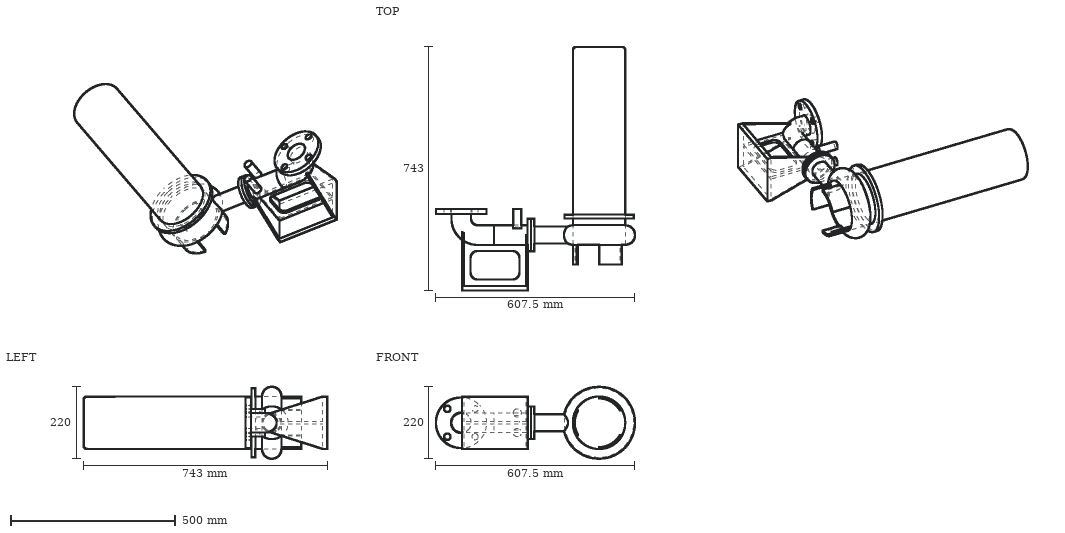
import cadquery as cq
import math


DRUM_DIAMETER = 160.07
DRUM_BACK_Y = 573.5
DRUM_BACK_FILLET = 10
TAB_COUNT = 3
TAB_ANGLE = 60
FIRST_GAP_CENTRE = 0
TAB_THICKNESS = 6
TAB_LENGTH = 60

RING_OUTER_DIAMETER = 220
INLET_DIAMETER = 52.9

COLLAR_DIAMETER = 211.6
COLLAR_FRONT_Y = 50
COLLAR_THICKNESS = 12

PIPE_FLANGE_DIAMETER = 100
PIPE_FLANGE_JOINT_X = -208
PIPE_SIDE_FLANGE_THICKNESS = 10
INLET_SIDE_FLANGE_THICKNESS = 11

PIPE_DIAMETER = 60.5
PIPE_ELBOW_JOINT_X = -320
STUB_DIAMETER = 25
STUB_X = -249
STUB_OFFSET_Z = 30
STUB_FRONT_Y = 20
STUB_BACK_Y = 80

ELBOW_BEND_RADIUS = 50
END_AXIS_X = -420
END_FLANGE_DIAMETER = 155
END_FLANGE_BORE = 61.1
END_FLANGE_THICKNESS = 16
END_FLANGE_BACK_Y = 80
BOLT_HOLE_DIAMETER = 19
BOLT_CIRCLE_DIAMETER = 120
BOLT_COUNT = 4

BRACKET_LEFT_X = -417
BRACKET_WIDTH = 200
BRACKET_HEIGHT = 160
BRACKET_FRONT_Y = -169.5
FRONT_PLATE_THICKNESS = 15
SIDE_PLATE_THICKNESS = 6
SIDE_PLATE_TIP_Y = 15
WEB_THICKNESS = 9
WEB_BACK_Y = -10
WINDOW_WIDTH = 148
WINDOW_DEPTH = 86
WINDOW_FRONT_Y = -135
WINDOW_CORNER_RADIUS = 20

drum_radius = DRUM_DIAMETER / 2
ring_half_width = RING_OUTER_DIAMETER / 2 - drum_radius
drum_front_y = -ring_half_width
pipe_radius = PIPE_DIAMETER / 2
pipe_end_x = PIPE_FLANGE_JOINT_X - PIPE_SIDE_FLANGE_THICKNESS


def cylinder_along_x(diameter, start_x, end_x):
    return cq.Workplane("YZ", origin=(start_x, 0, 0)).circle(diameter / 2).extrude(end_x - start_x)


def cylinder_along_y(diameter, start_y, end_y, x=0, z=0):
    plane = cq.Plane(origin=(x, start_y, z), xDir=(1, 0, 0), normal=(0, 1, 0))
    return cq.Workplane(plane).circle(diameter / 2).extrude(end_y - start_y)


def make_tab_gap(centre_angle):
    """Wedge that clears the drum wall between two neighbouring tabs."""
    half_angle = (360 / TAB_COUNT - TAB_ANGLE) / 2
    reach = 2 * drum_radius

    def point(angle):
        return (reach * math.cos(math.radians(angle)), reach * math.sin(math.radians(angle)))

    return (
        cq.Workplane("XZ", origin=(0, drum_front_y, 0))
        .polyline([(0, 0), point(centre_angle - half_angle), point(centre_angle + half_angle)])
        .close()
        .extrude(TAB_LENGTH)
    )


def make_drum():
    """Closed drum whose wall continues forward as evenly spaced curved tabs."""
    tab_end_y = drum_front_y - TAB_LENGTH
    drum = cylinder_along_y(DRUM_DIAMETER, tab_end_y, DRUM_BACK_Y)
    drum = drum.faces(">Y").edges().fillet(DRUM_BACK_FILLET)
    drum = drum.cut(cylinder_along_y(DRUM_DIAMETER - 2 * TAB_THICKNESS, tab_end_y, drum_front_y))
    for index in range(TAB_COUNT):
        drum = drum.cut(make_tab_gap(FIRST_GAP_CENTRE + index * 360 / TAB_COUNT))
    return drum


def make_collar():
    back_y = COLLAR_FRONT_Y + COLLAR_THICKNESS
    collar = cylinder_along_y(COLLAR_DIAMETER, COLLAR_FRONT_Y, back_y)
    return collar.cut(cylinder_along_y(DRUM_DIAMETER, COLLAR_FRONT_Y, back_y))


def make_ring_main():
    """Half-round ring fitted on the drum, with the inlet pipe and its flange."""
    ring = (
        cq.Workplane("XY")
        .center(-drum_radius, 0)
        .circle(ring_half_width)
        .revolve(360, (drum_radius, 0), (drum_radius, -1))
    )
    inlet = cylinder_along_x(INLET_DIAMETER, PIPE_FLANGE_JOINT_X, -drum_radius)
    flange_end_x = PIPE_FLANGE_JOINT_X + INLET_SIDE_FLANGE_THICKNESS
    flange = cylinder_along_x(PIPE_FLANGE_DIAMETER, PIPE_FLANGE_JOINT_X, flange_end_x)
    drum_bore = cylinder_along_y(DRUM_DIAMETER, drum_front_y, ring_half_width)
    return ring.union(inlet).union(flange).cut(drum_bore)


def make_pipe():
    """Main pipe with its flange and two parallel stubs."""
    pipe = cylinder_along_x(PIPE_DIAMETER, PIPE_ELBOW_JOINT_X, PIPE_FLANGE_JOINT_X)
    pipe = pipe.union(cylinder_along_x(PIPE_FLANGE_DIAMETER, pipe_end_x, PIPE_FLANGE_JOINT_X))
    for side in (-1, 1):
        stub = cylinder_along_y(STUB_DIAMETER, STUB_FRONT_Y, STUB_BACK_Y, STUB_X, side * STUB_OFFSET_Z)
        pipe = pipe.union(stub)
    return pipe


def make_elbow():
    """Quarter bend with a straight length on each end."""
    bend_start_x = END_AXIS_X + ELBOW_BEND_RADIUS
    bend_path = cq.Workplane("XY").moveTo(bend_start_x, 0).radiusArc(
        (END_AXIS_X, ELBOW_BEND_RADIUS), ELBOW_BEND_RADIUS
    )
    bend = cq.Workplane("YZ", origin=(bend_start_x, 0, 0)).circle(pipe_radius).sweep(bend_path)
    pipe_end = cylinder_along_x(PIPE_DIAMETER, bend_start_x, PIPE_ELBOW_JOINT_X)
    flange_end = cylinder_along_y(PIPE_DIAMETER, ELBOW_BEND_RADIUS, END_FLANGE_BACK_Y, END_AXIS_X)
    return bend.union(pipe_end).union(flange_end)


def make_end_flange():
    front_y = END_FLANGE_BACK_Y - END_FLANGE_THICKNESS
    flange = cylinder_along_y(END_FLANGE_DIAMETER, front_y, END_FLANGE_BACK_Y, END_AXIS_X)
    flange = flange.cut(cylinder_along_y(END_FLANGE_BORE, front_y, END_FLANGE_BACK_Y, END_AXIS_X))
    for index in range(BOLT_COUNT):
        angle = math.radians((index + 0.5) * 360 / BOLT_COUNT)
        hole_x = END_AXIS_X + BOLT_CIRCLE_DIAMETER / 2 * math.cos(angle)
        hole_z = BOLT_CIRCLE_DIAMETER / 2 * math.sin(angle)
        flange = flange.cut(
            cylinder_along_y(BOLT_HOLE_DIAMETER, front_y, END_FLANGE_BACK_Y, hole_x, hole_z)
        )
    return flange


def make_side_plate(left_x):
    """Side plate that narrows to the pipe diameter at the pipe axis and runs on into the pipe."""
    corner_y = BRACKET_FRONT_Y + FRONT_PLATE_THICKNESS
    corner_z = BRACKET_HEIGHT / 2
    edge_slope = (corner_z - pipe_radius) / corner_y
    tip_z = pipe_radius + edge_slope * SIDE_PLATE_TIP_Y
    return (
        cq.Workplane("YZ", origin=(left_x, 0, 0))
        .polyline([
            (corner_y, -corner_z),
            (SIDE_PLATE_TIP_Y, -tip_z),
            (SIDE_PLATE_TIP_Y, tip_z),
            (corner_y, corner_z),
        ])
        .close()
        .extrude(SIDE_PLATE_THICKNESS)
    )


def make_bracket(pipe, elbow):
    """Front plate, two side plates and a windowed web, trimmed to the pipework."""
    right_x = BRACKET_LEFT_X + BRACKET_WIDTH
    middle_x = (BRACKET_LEFT_X + right_x) / 2
    web_front_y = BRACKET_FRONT_Y + FRONT_PLATE_THICKNESS
    bracket = cq.Workplane("XY").box(
        BRACKET_WIDTH, FRONT_PLATE_THICKNESS, BRACKET_HEIGHT, centered=(True, False, True)
    ).translate((middle_x, BRACKET_FRONT_Y, 0))
    left_plate = make_side_plate(BRACKET_LEFT_X).cut(elbow)
    right_plate = make_side_plate(right_x - SIDE_PLATE_THICKNESS).cut(pipe)
    web = cq.Workplane("XY").box(
        BRACKET_WIDTH, WEB_BACK_Y - web_front_y, WEB_THICKNESS, centered=(True, False, True)
    ).translate((middle_x, web_front_y, 0))
    window = (
        cq.Workplane("XY")
        .box(WINDOW_WIDTH, WINDOW_DEPTH, WEB_THICKNESS, centered=(True, False, True))
        .edges("|Z")
        .fillet(WINDOW_CORNER_RADIUS)
        .translate((middle_x, WINDOW_FRONT_Y, 0))
    )
    web = web.cut(window).cut(pipe).cut(elbow)
    return bracket.union(web).union(left_plate).union(right_plate)


drum = make_drum()
collar = make_collar()
ring_main = make_ring_main()
pipe = make_pipe()
elbow = make_elbow()
end_flange = make_end_flange()
bracket = make_bracket(pipe, elbow)

result = cq.Compound.makeCompound([
    drum.val(),
    collar.val(),
    ring_main.val(),
    pipe.val(),
    elbow.val(),
    end_flange.val(),
    bracket.val(),
])